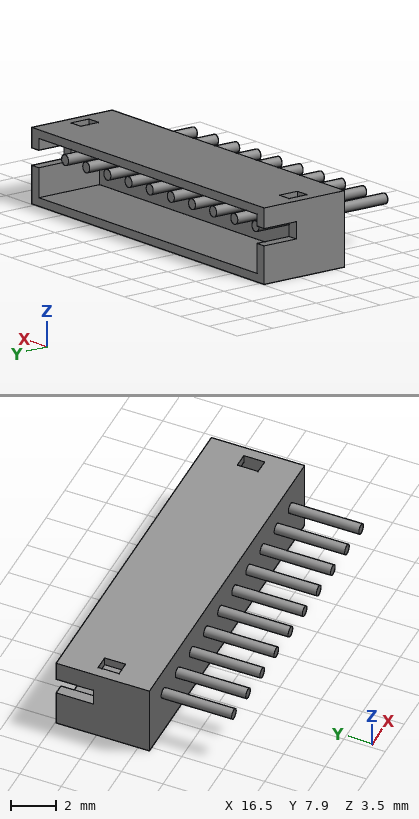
import cadquery as cq

length = 16.5
depth = 4.5
height = 3.5
end_wall = 0.51
roof_wall = 0.4
cavity_depth = 3.4

notch_depth = 1.8
notch_height = 0.8
notch_top_gap = 0.94

window_width = 0.7
window_depth = 1.0

pin_count = 10
pin_pitch = 1.5
pin_diameter = 0.5
pin_drop = 1.29
pin_tail = 3.4
pin_tip_recess = 0.7


def block(x_size, y_size, z_size, x_center, y_max, z_max):
    """Box centred on x_center, with its +Y and +Z faces at y_max and z_max."""
    return cq.Workplane("XY").box(x_size, y_size, z_size).translate(
        (x_center, y_max - y_size / 2, z_max - z_size / 2)
    )


def make_housing():
    """Hollow housing; its back face is at Y = 0 and its bottom at Z = 0."""
    housing = block(length, depth, height, 0, depth, height)
    cavity = block(
        length - 2 * end_wall, cavity_depth, height - 2 * roof_wall, 0, depth, height - roof_wall
    )
    notch = block(length, notch_depth, notch_height, 0, depth, height - notch_top_gap)
    housing = housing.cut(cavity).cut(notch)

    window_x = length / 2 - end_wall - window_width / 2
    for side in (-1, 1):
        window = block(
            window_width, window_depth, roof_wall, side * window_x, depth - notch_depth, height
        )
        housing = housing.cut(window)
    return housing


def make_pins():
    """Evenly spaced pins running from the solder tails into the cavity."""
    row_start = -pin_pitch * (pin_count - 1) / 2
    pin_length = pin_tail + depth - pin_tip_recess
    centers = [(row_start + i * pin_pitch, height - pin_drop) for i in range(pin_count)]
    return (
        cq.Workplane("XZ", origin=(0, -pin_tail, 0))
        .pushPoints(centers)
        .circle(pin_diameter / 2)
        .extrude(-pin_length)
    )


result = make_housing().union(make_pins())